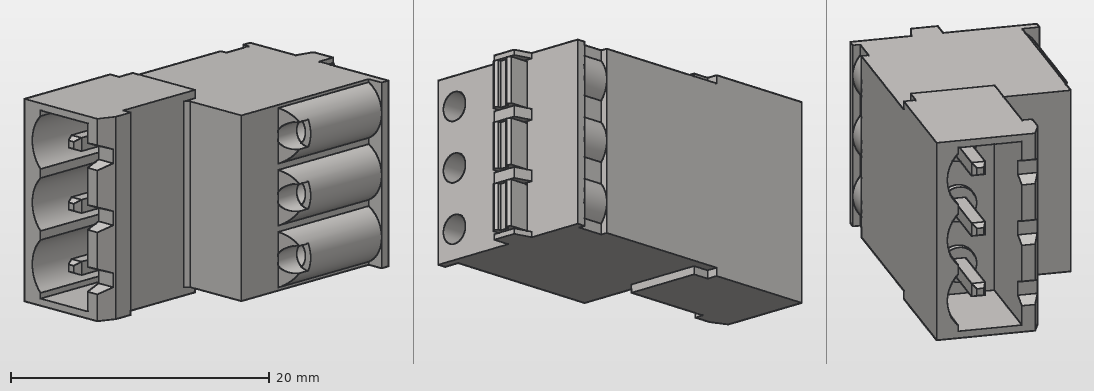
import cadquery as cq


POLES = 3
PITCH = 5.0
WIDTH = 15.0
LENGTH = 27.0
pole_heights = [(i - (POLES - 1) / 2) * PITCH for i in range(POLES)]

housing_height = POLES * PITCH
housing_front = 10.12
housing_rear = 25.0
housing_right = 13.6
plate_thickness = 0.78
plate_front = housing_rear - plate_thickness
corner_chamfer = 0.35

lobe_radius = PITCH / 2
lobe_front = 14.2
groove_depth = 0.6
groove_front = 21.75

pocket_x = 14.6
pocket_radius = 1.1
pocket_end = 16.35
wire_hole_x = 13.25
wire_hole_radius = 1.2

separator_rear = 26.55
separator_base_left = 4.95
separator_left = 5.32
separator_right = 7.48
lever_height = 3.78
lever_gap = 0.15
ridge_width = 0.57
ridge_shoulder = 26.8
lever_left = 5.4
lever_right = 7.35

shroud_height = 16.33
shroud_right = 7.72
shroud_rear = 11.0
shroud_step_rear = 9.5
shroud_step_width = 0.97
lip_right = 8.53
lip_rear = 3.05
lip_bevel_rear = 1.43
lip_front_right = 7.9

cavity_left = 1.75
cavity_right = 6.85
cavity_height = 15.17
cavity_depth = 8.0
scallop_radius = 3.0
slot_depth = 1.21
slot_front_half = 1.0
slot_floor_half = 0.57

pin_x = 3.85
pin_side = 1.08
pin_tip_side = 0.57
pin_tip_y = 1.25
pin_taper = 0.6
boss_radius = 1.43
boss_height = 0.55


def box(x0, x1, y0, y1, height, z=0.0):
    """Block between two X and two Y positions, centred on z."""
    return cq.Workplane("XY").box(x1 - x0, y1 - y0, height).translate(((x0 + x1) / 2, (y0 + y1) / 2, z))


def prism(points, height, z=0.0):
    """XY outline extruded symmetrically about z."""
    return cq.Workplane("XY").polyline(points).close().extrude(height / 2, both=True).translate((0, 0, z))


def rod(x, z, radius, y0, y1):
    """Cylinder along Y."""
    return cq.Workplane("XZ", origin=(x, y0, z)).circle(radius).extrude(y0 - y1)


def make_shroud():
    return prism(
        [
            (0, 0),
            (lip_front_right, 0),
            (lip_right, lip_bevel_rear),
            (lip_right, lip_rear),
            (shroud_right, lip_rear),
            (shroud_right, shroud_rear),
            (shroud_step_width, shroud_rear),
            (shroud_step_width, shroud_step_rear),
            (0, shroud_step_rear),
        ],
        shroud_height,
    )


def make_housing():
    housing = prism(
        [
            (0, shroud_step_rear),
            (shroud_right, shroud_step_rear),
            (shroud_right, housing_front - corner_chamfer),
            (shroud_right + corner_chamfer, housing_front),
            (housing_right, housing_front),
            (housing_right, plate_front),
            (WIDTH, plate_front),
            (WIDTH, housing_rear),
            (0, housing_rear),
        ],
        housing_height,
    )
    return housing.cut(box(0, groove_depth, groove_front, plate_front, housing_height))


def make_left_lobe(z):
    lobe = rod(lobe_radius, z, lobe_radius, groove_front, plate_front)
    return lobe.intersect(box(0, groove_depth, groove_front, plate_front, 2 * lobe_radius, z))


def make_right_lobe(z):
    lobe_x = WIDTH - lobe_radius
    lobe_width = WIDTH - housing_right
    bevelled_block = prism(
        [
            (lobe_x, lobe_front),
            (housing_right, lobe_front),
            (WIDTH, lobe_front + lobe_width),
            (WIDTH, plate_front),
            (lobe_x, plate_front),
        ],
        2 * lobe_radius,
        z,
    )
    return rod(lobe_x, z, lobe_radius, lobe_front, plate_front).intersect(bevelled_block)


def make_separators():
    separators = prism(
        [
            (separator_base_left, housing_rear),
            (separator_left, separator_rear),
            (separator_right, separator_rear),
            (separator_right, housing_rear),
        ],
        housing_height,
    )
    for z in pole_heights:
        opening = lever_height + 2 * lever_gap
        separators = separators.cut(
            box(separator_base_left, separator_right, housing_rear, separator_rear, opening, z)
        )
    return separators


def make_lever(z):
    lever = box(lever_left, lever_right, housing_rear, separator_rear, lever_height, z)
    for x in (lever_left, lever_right - ridge_width):
        ridge = prism(
            [
                (x, separator_rear),
                (x, ridge_shoulder),
                (x + ridge_width / 2, LENGTH),
                (x + ridge_width, ridge_shoulder),
                (x + ridge_width, separator_rear),
            ],
            lever_height,
            z,
        )
        lever = lever.union(ridge)
    return lever


def make_cavity():
    cavity = box(cavity_left, cavity_right, 0, cavity_depth, cavity_height)
    for z in pole_heights:
        scallop = rod(pin_x, z, scallop_radius, 0, cavity_depth)
        left_half = box(pin_x - scallop_radius, pin_x, 0, cavity_depth, cavity_height)
        cavity = cavity.union(scallop.intersect(left_half))
    return cavity


def make_keying_slot(z):
    """Slot through the right shroud wall, narrowing away from the mating face."""
    return (
        cq.Workplane("YZ", origin=(cavity_right, 0, z))
        .polyline(
            [
                (0, -slot_front_half),
                (slot_depth, -slot_floor_half),
                (slot_depth, slot_floor_half),
                (0, slot_front_half),
            ]
        )
        .close()
        .extrude(lip_right - cavity_right)
    )


def make_pin(z):
    taper_end = pin_tip_y + pin_taper
    boss = rod(pin_x, z, boss_radius, cavity_depth - boss_height, cavity_depth)
    shank = box(pin_x - pin_side / 2, pin_x + pin_side / 2, taper_end, cavity_depth, pin_side, z)
    tip = (
        cq.Workplane("XZ", origin=(pin_x, taper_end, z))
        .rect(pin_side, pin_side)
        .workplane(offset=pin_taper)
        .rect(pin_tip_side, pin_tip_side)
        .loft(ruled=True)
    )
    return boss.union(shank).union(tip)


result = make_housing().union(make_shroud()).union(make_separators()).cut(make_cavity())
for pole_z in pole_heights:
    result = (
        result.union(make_left_lobe(pole_z))
        .union(make_right_lobe(pole_z))
        .cut(rod(pocket_x, pole_z, pocket_radius, lobe_front, pocket_end))
        .cut(rod(wire_hole_x, pole_z, wire_hole_radius, pocket_end, housing_rear))
        .union(make_lever(pole_z))
        .cut(make_keying_slot(pole_z))
        .union(make_pin(pole_z))
    )